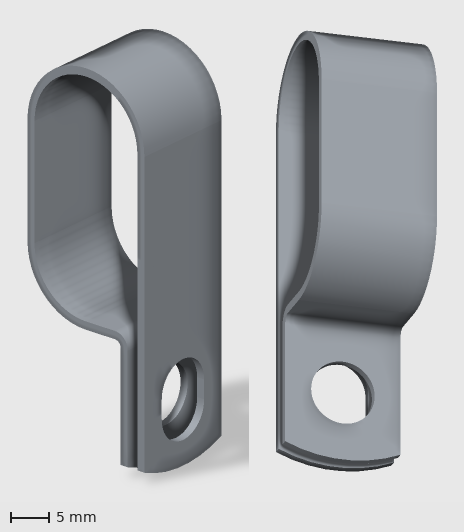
import cadquery as cq
import math

thickness = 1.2
strip_width = 15.9
total_height = 56.7

loop_width = 19.9
loop_height = 37.35
outer_radius = loop_width / 2
inner_radius = outer_radius - thickness
upper_center_z = total_height - outer_radius
loop_bottom_z = total_height - loop_height
lower_center_z = loop_bottom_z + outer_radius

leg_gap = 1.65
short_leg_outer_x = inner_radius - leg_gap
short_leg_inner_x = short_leg_outer_x - thickness
bend_inner_radius = 1.0
bend_outer_radius = bend_inner_radius + thickness
bend_center_x = short_leg_inner_x - bend_inner_radius
bend_center_z = loop_bottom_z - bend_inner_radius

hole_diameter = 8.75
hole_z = 9.45
slot_length = 11.55
end_radius = 20.0
end_corner_z = end_radius - math.sqrt(end_radius**2 - (strip_width / 2) ** 2)


def arc_middle(center_x, center_z, radius, degrees):
    """Point on a circle, used as the middle point of an arc."""
    angle = math.radians(degrees)
    return (center_x + radius * math.cos(angle), center_z + radius * math.sin(angle))


def bent_strip():
    """Clip outline in the XZ plane, extruded across the strip width."""
    return (
        cq.Workplane("XZ")
        .moveTo(outer_radius, 0)
        .lineTo(outer_radius, upper_center_z)
        .threePointArc((0, total_height), (-outer_radius, upper_center_z))
        .lineTo(-outer_radius, lower_center_z)
        .threePointArc(arc_middle(0, lower_center_z, outer_radius, 225), (0, loop_bottom_z))
        .lineTo(bend_center_x, loop_bottom_z)
        .threePointArc(
            arc_middle(bend_center_x, bend_center_z, bend_inner_radius, 45),
            (short_leg_inner_x, bend_center_z),
        )
        .lineTo(short_leg_inner_x, 0)
        .lineTo(short_leg_outer_x, 0)
        .lineTo(short_leg_outer_x, bend_center_z)
        .threePointArc(
            arc_middle(bend_center_x, bend_center_z, bend_outer_radius, 45),
            (bend_center_x, loop_bottom_z + thickness),
        )
        .lineTo(0, loop_bottom_z + thickness)
        .threePointArc(
            arc_middle(0, lower_center_z, inner_radius, 225),
            (-inner_radius, lower_center_z),
        )
        .lineTo(-inner_radius, upper_center_z)
        .threePointArc((0, upper_center_z + inner_radius), (inner_radius, upper_center_z))
        .lineTo(inner_radius, 0)
        .close()
        .extrude(strip_width / 2, both=True)
    )


def rounded_end_envelope():
    """Block with the arched lower edge shared by both legs."""
    half_width = strip_width / 2
    return (
        cq.Workplane("YZ")
        .moveTo(-half_width, end_corner_z)
        .threePointArc((0, 0), (half_width, end_corner_z))
        .lineTo(half_width, total_height)
        .lineTo(-half_width, total_height)
        .close()
        .extrude(outer_radius, both=True)
    )


def bolt_hole():
    """Round opening along X through the short leg."""
    return (
        cq.Workplane("YZ", origin=(short_leg_inner_x, 0, hole_z))
        .circle(hole_diameter / 2)
        .extrude(thickness)
    )


def adjustment_slot():
    """Vertical slot through the long leg, as wide as the hole and level with it."""
    return (
        cq.Workplane("YZ", origin=(inner_radius, 0, hole_z))
        .slot2D(slot_length, hole_diameter, 90)
        .extrude(thickness)
    )


clip = bent_strip().intersect(rounded_end_envelope())
result = clip.cut(bolt_hole()).cut(adjustment_slot())